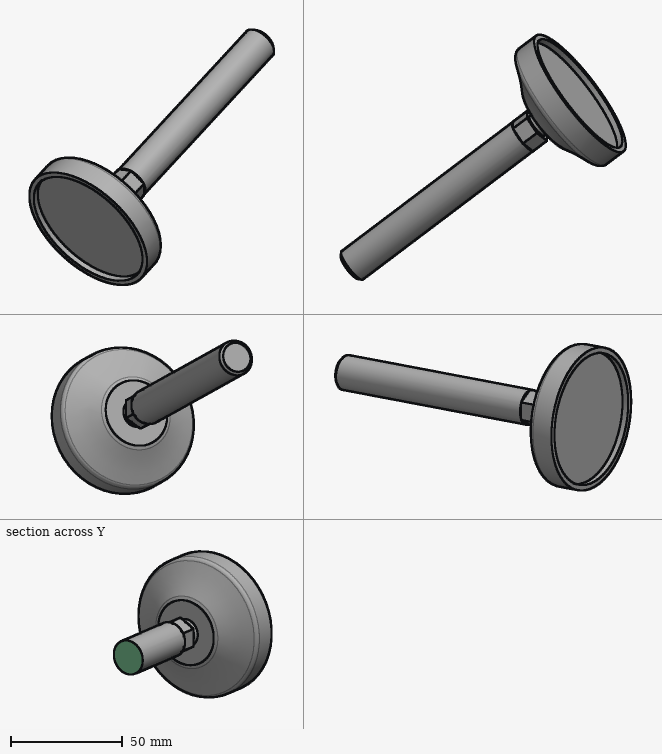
import cadquery as cq

total_length = 133.0

base_radius = 32.52
rim_height = 9.8
shoulder_radius = 31.1
shoulder_height = 12.0
crown_radius = 16.8
crown_height = 19.8
base_top_radius = 15.0
base_height = 20.5
recess_diameter = 60.0
recess_depth = 3.0

neck_radius = 11.0 / 2
collar_radius = 6.4
collar_top = 22.2
hex_across_flats = 14.2
hex_bottom = 24.9
hex_top = 33.0

stud_diameter = 16.0
stud_chamfer = 1.3

HEX_CORNER_RATIO = 2 / 3**0.5


def plane_at(height):
    """Plane across the axis, facing +Y, at a height above the underside."""
    return cq.Workplane(cq.Plane(origin=(0, height, 0), xDir=(1, 0, 0), normal=(0, 1, 0)))


def make_base_and_neck():
    """Revolved flared base, conical collar and plain neck."""
    profile = (
        cq.Workplane("XY")
        .lineTo(base_radius, 0)
        .lineTo(base_radius, rim_height)
        .tangentArcPoint((shoulder_radius, shoulder_height), relative=False)
        .tangentArcPoint((crown_radius, crown_height), relative=False)
        .lineTo(base_top_radius, base_height)
        .lineTo(collar_radius, base_height)
        .lineTo(neck_radius, collar_top)
        .lineTo(neck_radius, hex_bottom)
        .lineTo(0, hex_bottom)
        .close()
    )
    return profile.revolve(360, (0, 0, 0), (0, 1, 0))


def make_recess():
    """Shallow round recess in the underside."""
    return plane_at(0).circle(recess_diameter / 2).extrude(recess_depth)


def make_hexagon():
    """Wrench hexagon with two flats facing +X and -X."""
    corner_diameter = hex_across_flats * HEX_CORNER_RATIO
    hexagon = plane_at(hex_bottom).polygon(6, corner_diameter).extrude(hex_top - hex_bottom)
    return hexagon.rotate((0, 0, 0), (0, 1, 0), 30)


def make_stud():
    """Plain stud with a chamfered free end."""
    stud = plane_at(hex_top).circle(stud_diameter / 2).extrude(total_length - hex_top)
    return stud.faces(">Y").chamfer(stud_chamfer)


result = make_base_and_neck().cut(make_recess()).union(make_hexagon()).union(make_stud())